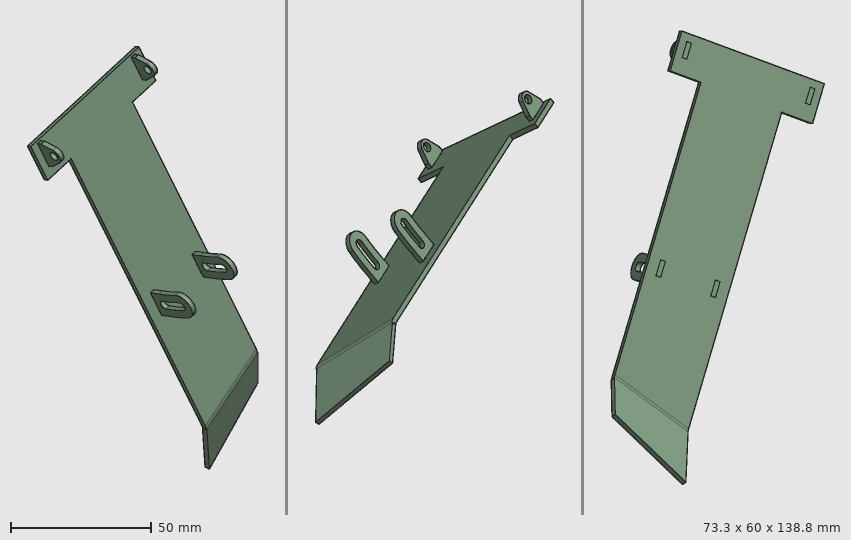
import cadquery as cq
import math

SHEET = 2.0
PLATE_SLOPE = 58.4

HEAD_WIDTH = 60.0
HEAD_LENGTH = 15.0
STEM_WIDTH = 34.0
STEM_LENGTH = 129.2

FOLD_SKEW = 15.0
FOLD_ANGLE = 30.0
FOLD_RADIUS = 2.0
FLAP_LONG = 21.4
FLAP_SHORT = 14.8
FLAP_LONG_SHIFT = 4.6
FLAP_SHORT_SHIFT = 4.3

TAB_WIDTH = 10.0
TENON_WIDTH = 6.0
HOLE_DIAMETER = 3.5

LUG_CENTER = 6.0
LUG_SPACING = 51.9
LUG_SHOULDER = 2.0
LUG_HOLE_HEIGHT = 5.8
LUG_RADIUS = 3.0

SWING_RADIUS = 77.0
BRACKET_CENTER = LUG_CENTER + SWING_RADIUS
BRACKET_SPACING = 23.0
SLOT_START = 4.5
SLOT_END = 14.2

slope = math.radians(PLATE_SLOPE)
skew = math.radians(FOLD_SKEW)
fold = math.radians(FOLD_ANGLE)
plate_frame = cq.Plane(
    origin=(0, 0, 0),
    xDir=(math.cos(slope), 0, -math.sin(slope)),
    normal=(math.sin(slope), 0, math.cos(slope)),
)


def place(body):
    """Tilt a body from the working frame to its final position."""
    return body.solids().val().moved(cq.Location(plate_frame))


def make_flat():
    """Head and stem, with the stem cut off along the skewed fold line."""
    half_head = HEAD_WIDTH / 2
    half_stem = STEM_WIDTH / 2
    skew_drop = half_stem * math.tan(skew)
    outline = [
        (0, -half_head),
        (HEAD_LENGTH, -half_head),
        (HEAD_LENGTH, -half_stem),
        (STEM_LENGTH + skew_drop, -half_stem),
        (STEM_LENGTH - skew_drop, half_stem),
        (HEAD_LENGTH, half_stem),
        (HEAD_LENGTH, half_head),
        (0, half_head),
    ]
    return cq.Workplane("XY").polyline(outline).close().extrude(SHEET)


def make_fold(fold_frame):
    """Curved strip along the fold line, trimmed flush with the stem sides."""
    outer = FOLD_RADIUS + SHEET

    def arc_point(radius, angle):
        return radius * math.sin(angle), radius * math.cos(angle) - FOLD_RADIUS

    section = cq.Plane(fold_frame.origin, xDir=fold_frame.xDir, normal=-fold_frame.yDir)
    strip = (
        cq.Workplane(section)
        .moveTo(*arc_point(FOLD_RADIUS, 0))
        .threePointArc(arc_point(FOLD_RADIUS, fold / 2), arc_point(FOLD_RADIUS, fold))
        .lineTo(*arc_point(outer, fold))
        .threePointArc(arc_point(outer, fold / 2), arc_point(outer, 0))
        .close()
        .extrude(STEM_WIDTH, both=True)
    )
    trim = cq.Workplane("XY").box(2 * STEM_LENGTH, STEM_WIDTH, STEM_WIDTH)
    return strip.intersect(trim.translate((STEM_LENGTH, 0, 0)))


def make_flap(fold_frame):
    """Four-sided flap that continues from the end of the fold."""
    run = FOLD_RADIUS * math.sin(fold)
    drop = FOLD_RADIUS * (1 - math.cos(fold))
    flap_frame = cq.Plane(
        origin=fold_frame.toWorldCoords((run, 0, -drop)),
        xDir=fold_frame.xDir * math.cos(fold) - fold_frame.zDir * math.sin(fold),
        normal=fold_frame.xDir * math.sin(fold) + fold_frame.zDir * math.cos(fold),
    )
    left = (STEM_WIDTH / 2 - run * math.sin(skew)) / math.cos(skew)
    right = (-STEM_WIDTH / 2 - run * math.sin(skew)) / math.cos(skew)
    outline = [
        (0, right),
        (FLAP_LONG, right - FLAP_LONG_SHIFT),
        (FLAP_SHORT, left - FLAP_SHORT_SHIFT),
        (0, left),
    ]
    return cq.Workplane(flap_frame).polyline(outline).close().extrude(SHEET)


def make_plate():
    """Folded plate with a slot for the tenon of every tab."""
    fold_frame = cq.Plane(
        origin=(STEM_LENGTH, 0, 0),
        xDir=(math.cos(skew), math.sin(skew), 0),
        normal=(0, 0, 1),
    )
    plate = make_flat().union(make_fold(fold_frame)).union(make_flap(fold_frame))
    for center, spacing in ((LUG_CENTER, LUG_SPACING), (BRACKET_CENTER, BRACKET_SPACING)):
        for side in (-1, 1):
            plate = plate.cut(make_tenon().translate((center, side * spacing / 2, 0)))
    return plate


def make_tenon():
    """Block that fills a plate slot through the full sheet thickness."""
    return cq.Workplane("XY").box(TENON_WIDTH, SHEET, SHEET, centered=(True, True, False))


def tab_sketch():
    """Sketch plane for tab profiles: X down the plate, Y up from its upper face."""
    return cq.Workplane("XZ", origin=(0, 0, SHEET))


def make_lug():
    """Tab with short straight sides that taper tangent to a round, drilled tip."""
    half_width = TAB_WIDTH / 2
    rise = LUG_HOLE_HEIGHT - LUG_SHOULDER
    reach = math.hypot(half_width, rise)
    tangent = math.acos(LUG_RADIUS / reach) - math.atan2(rise, half_width)
    tangent_x = LUG_RADIUS * math.cos(tangent)
    tangent_y = LUG_HOLE_HEIGHT + LUG_RADIUS * math.sin(tangent)
    profile = (
        tab_sketch()
        .moveTo(-half_width, 0)
        .lineTo(half_width, 0)
        .lineTo(half_width, LUG_SHOULDER)
        .lineTo(tangent_x, tangent_y)
        .threePointArc((0, LUG_HOLE_HEIGHT + LUG_RADIUS), (-tangent_x, tangent_y))
        .lineTo(-half_width, LUG_SHOULDER)
        .close()
        .extrude(SHEET / 2, both=True)
    )
    hole = tab_sketch().center(0, LUG_HOLE_HEIGHT).circle(HOLE_DIAMETER / 2).extrude(SHEET, both=True)
    return profile.cut(hole).union(make_tenon())


def swing_point(radius, angle):
    """Point on a circle about the lug hole axis, in the bracket's sketch plane."""
    return radius * math.cos(angle) - SWING_RADIUS, LUG_HOLE_HEIGHT + radius * math.sin(angle)


def draw_curved_end(sketch, half_width, start, end):
    """Draw the outer arc, the round tip and the inner arc of a curved strip."""
    middle = (start + end) / 2
    inner = SWING_RADIUS - half_width
    outer = SWING_RADIUS + half_width
    tip_x, tip_y = swing_point(SWING_RADIUS, end)
    tip = (tip_x - half_width * math.sin(end), tip_y + half_width * math.cos(end))
    return (
        sketch
        .lineTo(*swing_point(outer, start))
        .threePointArc(swing_point(outer, middle), swing_point(outer, end))
        .threePointArc(tip, swing_point(inner, end))
        .threePointArc(swing_point(inner, middle), swing_point(inner, start))
    )


def make_bracket():
    """Tab with straight shoulders, a curved round-ended arm and a curved slot."""
    half_width = TAB_WIDTH / 2
    start = math.asin((SLOT_START - LUG_HOLE_HEIGHT) / SWING_RADIUS)
    end = math.asin((SLOT_END - LUG_HOLE_HEIGHT) / SWING_RADIUS)
    base = tab_sketch().moveTo(-half_width, 0).lineTo(half_width, 0)
    profile = draw_curved_end(base, half_width, start, end).close().extrude(SHEET / 2, both=True)

    slot_half = HOLE_DIAMETER / 2
    slot_corner = tab_sketch().moveTo(*swing_point(SWING_RADIUS - slot_half, start))
    slot = draw_curved_end(slot_corner, slot_half, start, end).close().extrude(SHEET, both=True)
    round_start = (
        tab_sketch()
        .center(*swing_point(SWING_RADIUS, start))
        .circle(slot_half)
        .extrude(SHEET, both=True)
    )
    return profile.cut(slot).cut(round_start).union(make_tenon())


plate = place(make_plate())
lugs = []
brackets = []
for side in (-1, 1):
    lugs.append(place(make_lug().translate((LUG_CENTER, side * LUG_SPACING / 2, 0))))
    brackets.append(place(make_bracket().translate((BRACKET_CENTER, side * BRACKET_SPACING / 2, 0))))

result = cq.Compound.makeCompound([plate, *lugs, *brackets])